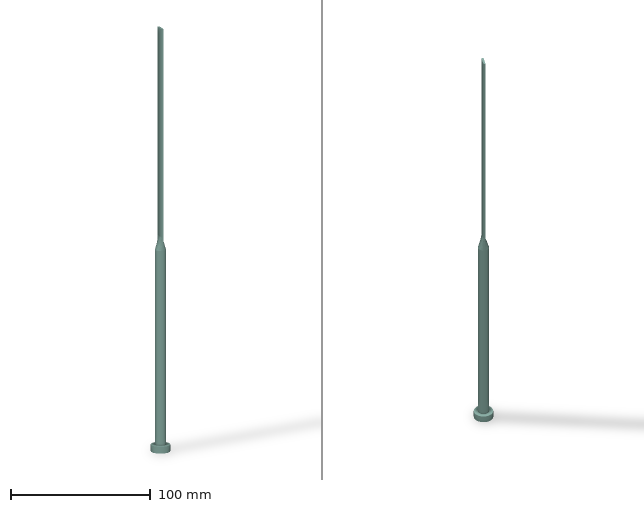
import cadquery as cq

total_length = 315.0
blade_length = 155.0
transition_length = 10.0

head_diameter = 14.0
head_height = 5.0
shank_diameter = 8.0

blade_width = 7.5
blade_thickness = 1.5

blade_base_height = total_length - blade_length
shank_top_height = blade_base_height - transition_length


def make_cylinder(diameter, bottom, top):
    """Round section on the Z axis between two heights."""
    return cq.Workplane("XY").workplane(offset=bottom).circle(diameter / 2).extrude(top - bottom)


def make_transition():
    """Blend from the round shank to the rectangular blade."""
    return (
        cq.Workplane("XY")
        .workplane(offset=shank_top_height)
        .circle(shank_diameter / 2)
        .workplane(offset=transition_length)
        .rect(blade_width, blade_thickness)
        .loft(combine=True)
    )


def make_blade():
    """Flat rectangular blade up to the tip of the pin."""
    return (
        cq.Workplane("XY")
        .workplane(offset=blade_base_height)
        .rect(blade_width, blade_thickness)
        .extrude(blade_length)
    )


head = make_cylinder(head_diameter, 0, head_height)
shank = make_cylinder(shank_diameter, head_height, shank_top_height)

result = head.union(shank).union(make_transition()).union(make_blade())